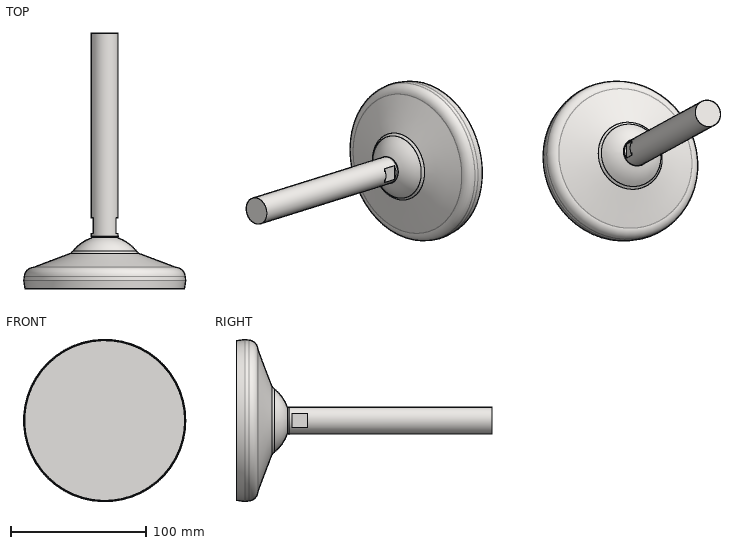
import cadquery as cq
import math


total_length = 189.0
pad_diameter = 120.0

floor_radius = 59.1
rim_radius = pad_diameter / 2
rim_height = 6.2
upper_rim_radius = 59.6
upper_rim_height = 9.2
shoulder_radius = 52.6
shoulder_height = 16.0
shoulder_bulge = 1.8
cone_top_radius = 25.3
cone_top_height = 26.3
seat_radius = 23.5
seat_height = 28.0

stem_diameter = 20.0
stem_radius = stem_diameter / 2
neck_radius = 9.6
neck_height = 37.8
lip_radius = 10.15
lip_height = 38.85
stem_start_height = 39.4

across_flats = 17.0
flats_start_height = 41.0
flats_length = 11.5

dome_center_height = (
    (neck_radius**2 + neck_height**2 - seat_radius**2 - seat_height**2)
    / (2 * (neck_height - seat_height))
)
dome_radius = math.hypot(seat_radius, seat_height - dome_center_height)


def revolve_about_y(profile):
    return profile.close().revolve(360, (0, 0, 0), (0, 1, 0))


def dome_point(height):
    """Point of the dome's outline at a given height."""
    return (math.sqrt(dome_radius**2 - (height - dome_center_height) ** 2), height)


def shoulder_point():
    """Middle of the rounded shoulder, pushed out from its chord by the bulge."""
    chord_x = upper_rim_radius - shoulder_radius
    chord_y = shoulder_height - upper_rim_height
    chord = math.hypot(chord_x, chord_y)
    return (
        (shoulder_radius + upper_rim_radius) / 2 + shoulder_bulge * chord_y / chord,
        (shoulder_height + upper_rim_height) / 2 + shoulder_bulge * chord_x / chord,
    )


def make_pad():
    profile = (
        cq.Workplane("XY")
        .lineTo(floor_radius, 0)
        .lineTo(rim_radius, rim_height)
        .lineTo(upper_rim_radius, upper_rim_height)
        .threePointArc(shoulder_point(), (shoulder_radius, shoulder_height))
        .lineTo(cone_top_radius, cone_top_height)
        .lineTo(seat_radius, seat_height)
        .lineTo(0, seat_height)
    )
    return revolve_about_y(profile)


def make_stem():
    profile = (
        cq.Workplane("XY")
        .moveTo(0, seat_height)
        .lineTo(seat_radius, seat_height)
        .threePointArc(dome_point((seat_height + neck_height) / 2), (neck_radius, neck_height))
        .lineTo(lip_radius, lip_height)
        .lineTo(stem_radius, stem_start_height)
        .lineTo(stem_radius, total_length)
        .lineTo(0, total_length)
    )
    stem = revolve_about_y(profile)
    for side in (-1, 1):
        stem = stem.cut(wrench_flat_cutter(side))
    return stem


def wrench_flat_cutter(side):
    depth = (stem_diameter - across_flats) / 2
    return (
        cq.Workplane("XY")
        .box(2 * depth, flats_length, stem_diameter)
        .translate((side * (across_flats / 2 + depth), flats_start_height + flats_length / 2, 0))
    )


pad = make_pad()
stem = make_stem()

result = cq.Compound.makeCompound([pad.val(), stem.val()])